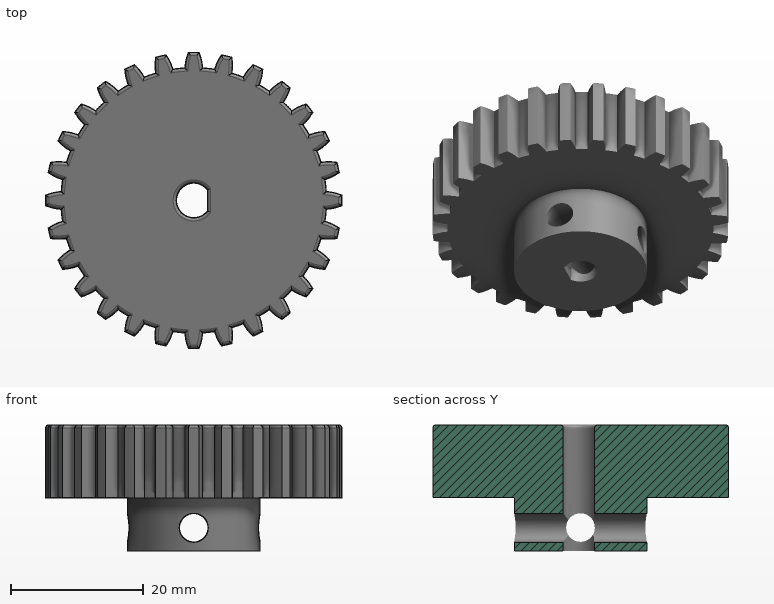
import cadquery as cq
import math

hub_diameter = 20.0
hub_height = 8.0
gear_width = 11.0
total_height = hub_height + gear_width

tooth_count = 28
tip_radius = 22.3
root_radius = 20.0
mid_radius = (tip_radius + root_radius) / 2
tip_thickness = 1.6
mid_thickness = 2.33
root_thickness = 2.7
tooth_pitch_angle = 2 * math.pi / tooth_count
top_edge_radius = 0.5

bore_diameter = 5.2
bore_flat_offset = 2.05

screw_hole_diameter = 4.3
screw_hole_height = 3.5


def point_on_circle(radius, angle):
    """Point at the given angle, in radians, on a circle about the gear axis."""
    return (radius * math.cos(angle), radius * math.sin(angle))


def half_angle(thickness, radius):
    """Angle spanned by half a tooth of the given thickness at the given radius."""
    return math.asin(thickness / 2 / radius)


tip_half_angle = half_angle(tip_thickness, tip_radius)
mid_half_angle = half_angle(mid_thickness, mid_radius)
root_half_angle = half_angle(root_thickness, root_radius)


def add_tooth_and_gap(outline, angle):
    """Draw one tooth centred on the angle, then the root arc up to the next tooth."""
    next_angle = angle + tooth_pitch_angle
    return (
        outline
        .spline(
            [
                point_on_circle(mid_radius, angle - mid_half_angle),
                point_on_circle(tip_radius, angle - tip_half_angle),
            ],
            includeCurrent=True,
        )
        .threePointArc(
            point_on_circle(tip_radius, angle),
            point_on_circle(tip_radius, angle + tip_half_angle),
        )
        .spline(
            [
                point_on_circle(mid_radius, angle + mid_half_angle),
                point_on_circle(root_radius, angle + root_half_angle),
            ],
            includeCurrent=True,
        )
        .threePointArc(
            point_on_circle(root_radius, angle + tooth_pitch_angle / 2),
            point_on_circle(root_radius, next_angle - root_half_angle),
        )
    )


def make_toothed_wheel():
    start = point_on_circle(root_radius, -root_half_angle)
    outline = cq.Workplane("XY").workplane(offset=hub_height).moveTo(*start)
    for tooth in range(tooth_count):
        outline = add_tooth_and_gap(outline, tooth * tooth_pitch_angle)
    return outline.close().extrude(gear_width)


def make_hub():
    return cq.Workplane("XY").circle(hub_diameter / 2).extrude(hub_height)


def make_bore():
    """Full-height shaft bore, cut off by the flat."""
    bore_radius = bore_diameter / 2
    flat_half_length = math.sqrt(bore_radius**2 - bore_flat_offset**2)
    return (
        cq.Workplane("XY")
        .moveTo(bore_flat_offset, flat_half_length)
        .threePointArc((-bore_radius, 0), (bore_flat_offset, -flat_half_length))
        .close()
        .extrude(total_height)
    )


def make_screw_hole(plane):
    """Hole through the whole hub, normal to the given plane."""
    return (
        cq.Workplane(plane)
        .center(0, screw_hole_height)
        .circle(screw_hole_diameter / 2)
        .extrude(hub_diameter / 2, both=True)
    )


bore = make_bore()
wheel = make_toothed_wheel().cut(bore).faces(">Z").edges().fillet(top_edge_radius)

result = wheel.union(make_hub()).cut(bore)
for hole_plane in ("XZ", "YZ"):
    result = result.cut(make_screw_hole(hole_plane))